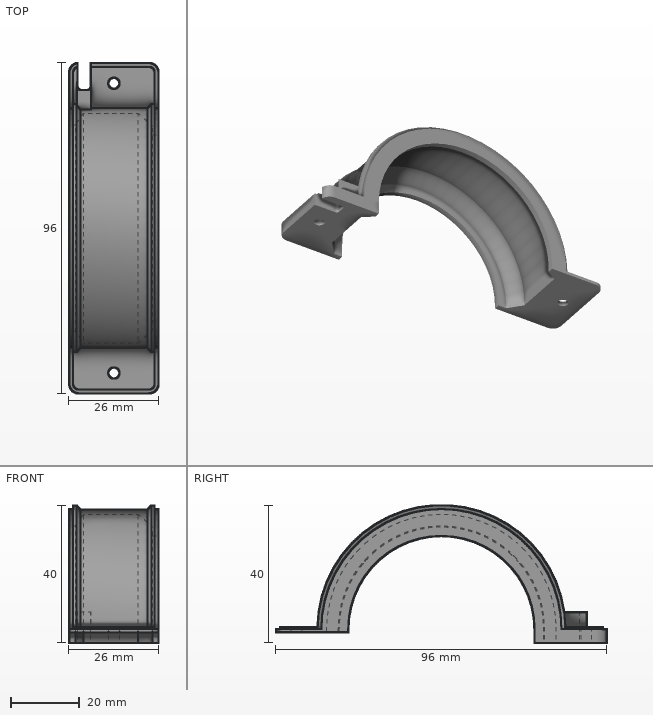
import cadquery as cq

WIDTH = 26.0
LENGTH = 96.0
HALF_WIDTH = WIDTH / 2
HALF_LENGTH = LENGTH / 2

SHELL_RADIUS = 34.8
RIM_RADIUS = 36.0
SHELL_THICKNESS = 1.5
CAVITY_RADIUS = SHELL_RADIUS - SHELL_THICKNESS
NEAR_OPENING_RADIUS = 30.0
FAR_OPENING_RADIUS = 27.0
FAR_CONE_RADIUS = 29.7
WALL_THICKNESS = 1.8
NEAR_CONE_LENGTH = 2.3
FAR_CONE_LENGTH = 4.1
RIM_INSET = 1.2
RIM_WIDTH = 1.0
RIM_BEVEL = RIM_RADIUS - SHELL_RADIUS

FRONT_DEPTH = 1.0
BACK_DEPTH = 4.0
CORNER_RADIUS = 2.9
PAD_HEIGHT = 0.6
HOLE_DIAMETER = 3.2
HOLE_Y = 42.0

SLOT_X = -8.6
SLOT_WIDTH = 3.7
SLOT_END_Y = 40.1
SLOT_CORNER_RADIUS = 1.0
HOOD_WALL = 0.2
HOOD_END_Y = 42.2
HOOD_HEIGHT = 4.9


def box(x_range, y_range, z_range):
    """Box spanning the given (low, high) ranges."""
    size = [high - low for low, high in (x_range, y_range, z_range)]
    corner = (x_range[0], y_range[0], z_range[0])
    return cq.Workplane("XY").box(*size, centered=False).translate(corner)


def revolve_profile(points):
    """Upper half of an (x, radius) profile turned about the X axis."""
    upper_half = box((-WIDTH, WIDTH), (-LENGTH, LENGTH), (0, LENGTH))
    turned = cq.Workplane("XY").polyline(points).close().revolve(360, (0, 0, 0), (1, 0, 0))
    return turned.intersect(upper_half)


def extend_profile(points, depth, side):
    """The same profile continued straight down below the arch on one Y side."""
    outline = [(x, side * radius) for x, radius in points]
    return cq.Workplane("XY").polyline(outline).close().extrude(-depth)


def arch_and_legs(points):
    arch = revolve_profile(points)
    back_leg = extend_profile(points, BACK_DEPTH, 1)
    front_leg = extend_profile(points, FRONT_DEPTH, -1)
    return arch.union(back_leg).union(front_leg)


def rim_profile(side):
    """Raised rim with a bevel facing the middle of the arch."""
    outer_x = HALF_WIDTH - RIM_INSET
    inner_x = outer_x - RIM_WIDTH
    base_radius = SHELL_RADIUS - SHELL_THICKNESS / 2
    return [
        (side * outer_x, base_radius),
        (side * outer_x, RIM_RADIUS),
        (side * inner_x, RIM_RADIUS),
        (side * (inner_x - RIM_BEVEL), SHELL_RADIUS),
        (side * (inner_x - RIM_BEVEL), base_radius),
    ]


def foot(side, depth):
    """Rounded foot plate with a raised, inset pad on top."""
    inner_y = SHELL_RADIUS - SHELL_THICKNESS / 2

    def plate(inset, bottom, top):
        half_width = HALF_WIDTH - inset
        y_range = sorted((side * inner_y, side * (HALF_LENGTH - inset)))
        block = box((-half_width, half_width), y_range, (bottom, top))
        outer_edges = block.faces(">Y" if side > 0 else "<Y").edges("|Z")
        return outer_edges.fillet(CORNER_RADIUS - inset)

    return plate(0, -depth, 0).union(plate(RIM_INSET, -depth, PAD_HEIGHT))


near_wall_x = -HALF_WIDTH + WALL_THICKNESS
far_wall_x = HALF_WIDTH - WALL_THICKNESS
arch_profile = [
    (-HALF_WIDTH, SHELL_RADIUS),
    (-HALF_WIDTH, NEAR_OPENING_RADIUS),
    (near_wall_x, NEAR_OPENING_RADIUS),
    (near_wall_x + NEAR_CONE_LENGTH, CAVITY_RADIUS),
    (far_wall_x - FAR_CONE_LENGTH, CAVITY_RADIUS),
    (far_wall_x, FAR_CONE_RADIUS),
    (far_wall_x, FAR_OPENING_RADIUS),
    (HALF_WIDTH, FAR_OPENING_RADIUS),
    (HALF_WIDTH, SHELL_RADIUS),
]
result = arch_and_legs(arch_profile)

for side in (-1, 1):
    result = result.union(revolve_profile(rim_profile(side)))
result = result.union(foot(1, BACK_DEPTH)).union(foot(-1, FRONT_DEPTH))

hood_half_width = SLOT_WIDTH / 2 + HOOD_WALL
hood_x = (SLOT_X - hood_half_width, SLOT_X + hood_half_width)
hood_inner_y = SHELL_RADIUS - SHELL_THICKNESS
result = result.union(box(hood_x, (hood_inner_y, HOOD_END_Y), (0, HOOD_HEIGHT)))

slot_x = (SLOT_X - SLOT_WIDTH / 2, SLOT_X + SLOT_WIDTH / 2)
slot = box(slot_x, (SLOT_END_Y, LENGTH), (-BACK_DEPTH, HOOD_HEIGHT))
result = result.cut(slot.faces("<Y").edges("|Z").fillet(SLOT_CORNER_RADIUS))

holes = (
    cq.Workplane("XY", origin=(0, 0, -BACK_DEPTH))
    .pushPoints([(0, -HOLE_Y), (0, HOLE_Y)])
    .circle(HOLE_DIAMETER / 2)
    .extrude(BACK_DEPTH + PAD_HEIGHT)
)
result = result.cut(holes)